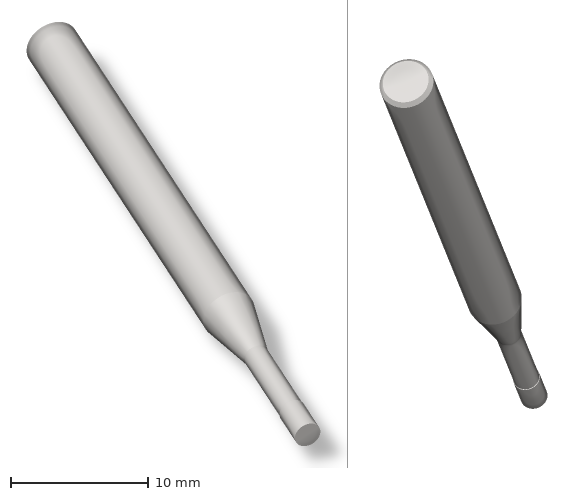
import cadquery as cq

total_length = 50.0
shank_diameter = 4.0
shank_chamfer = 0.3
tip_length = 3.0
neck_length = 7.0
cone_length = 5.3
neck_diameter = 1.9
tip_diameter = 2.0

start_x = -total_length / 2
end_x = total_length / 2
tip_start_x = end_x - tip_length
neck_start_x = tip_start_x - neck_length
cone_start_x = neck_start_x - cone_length

shank_radius = shank_diameter / 2
neck_radius = neck_diameter / 2
tip_radius = tip_diameter / 2

profile = [
    (start_x, 0),
    (start_x, shank_radius - shank_chamfer),
    (start_x + shank_chamfer, shank_radius),
    (cone_start_x, shank_radius),
    (neck_start_x, neck_radius),
    (tip_start_x, neck_radius),
    (tip_start_x, tip_radius),
    (end_x, tip_radius),
    (end_x, 0),
]

result = cq.Workplane("XY").polyline(profile).close().revolve(360, (0, 0, 0), (1, 0, 0))